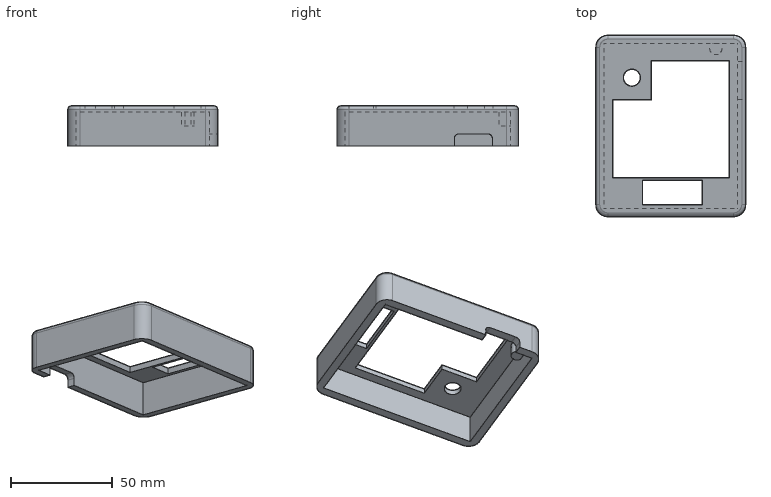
import cadquery as cq

width = 73.7
length = 89.25
height = 19.9
corner_radius = 6.0
top_edge_radius = 2.0
wall = 4.0
plate = 3.0
plate_underside = height - plate

window_left = -28.4
window_right = 28.65
window_front = -25.35
window_back = 31.95
button_tab_right = -9.5
button_tab_front = 12.85

button_diameter = 8.2
button_x = -19.1
button_y = 23.7

slot_width = 29.3
slot_length = 12.0
slot_x = 0.8
slot_y = -32.7

notch_width = 18.7
notch_height = 6.1
notch_radius = 4.7 / 2
notch_y = 22.4

post_diameter = 6.0
post_height = 7.0
post_x = 22.1
post_y = 38.0


def make_shell():
    body = cq.Workplane("XY").box(width, length, height, centered=(True, True, False))
    body = body.edges("|Z").fillet(corner_radius)
    body = body.faces(">Z").edges().fillet(top_edge_radius)
    cavity = cq.Workplane("XY").box(
        width - 2 * wall, length - 2 * wall, plate_underside, centered=(True, True, False)
    )
    return body.cut(cavity)


def make_window():
    outline = [
        (window_left, window_front),
        (window_right, window_front),
        (window_right, window_back),
        (button_tab_right, window_back),
        (button_tab_right, button_tab_front),
        (window_left, button_tab_front),
    ]
    return cq.Workplane("XY").polyline(outline).close().extrude(height)


def make_slot():
    return cq.Workplane("XY").center(slot_x, slot_y).rect(slot_width, slot_length).extrude(height)


def make_button_hole():
    return cq.Workplane("XY").center(button_x, button_y).circle(button_diameter / 2).extrude(height)


def make_notch():
    block = cq.Workplane("XY").box(2 * wall, notch_width, 2 * notch_height)
    block = block.edges("|X").fillet(notch_radius)
    return block.translate((width / 2 - wall / 2, notch_y, 0))


def make_post():
    return (
        cq.Workplane("XY", origin=(0, 0, plate_underside - post_height))
        .center(post_x, post_y)
        .circle(post_diameter / 2)
        .extrude(post_height)
    )


result = make_shell().union(make_post())
for opening in (make_window(), make_slot(), make_button_hole(), make_notch()):
    result = result.cut(opening)